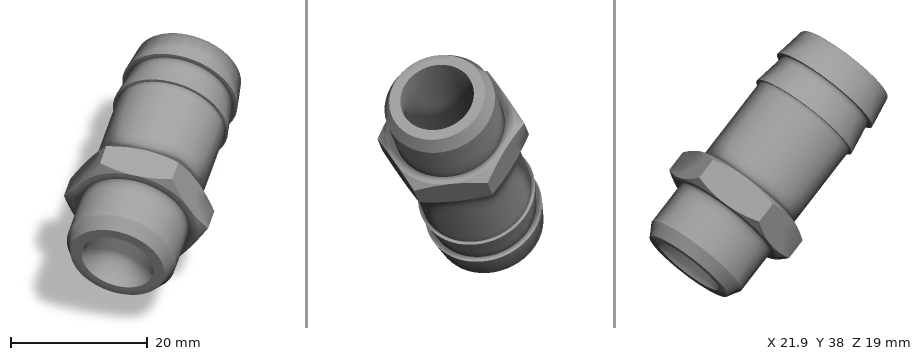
import cadquery as cq
import math

total_length = 38.0
thread_length = 9.0
hex_width = 5.0
barb_length = 5.0
barb_count = 2

bore_radius = 5.5
body_radius = 8.25
barb_crest_radius = 8.75
barb_root_radius = 7.92
across_flats = 19.0

lead_in_depth = 1.1
lead_in_angle = math.radians(30)
lead_in_length = lead_in_depth / math.tan(lead_in_angle)
hex_chamfer_angle = math.radians(30)
tip_fillet = 0.5

hex_half_angle = math.radians(30)
hex_corner_radius = across_flats / 2 / math.cos(hex_half_angle)


def revolve_about_y(profile):
    """Turn a closed (radius, length) outline about the Y axis."""
    points = [(length, radius) for radius, length in profile]
    return cq.Workplane("YZ").polyline(points).close().revolve(360, (0, 0, 0), (1, 0, 0))


def make_body():
    """Plain cylinder up to the barbs, with a conical lead-in at the threaded end."""
    barbs_start = total_length - barb_count * barb_length
    return revolve_about_y([
        (0, 0),
        (body_radius - lead_in_depth, 0),
        (body_radius, lead_in_length),
        (body_radius, barbs_start),
        (0, barbs_start),
    ])


def make_barb(index):
    """Cone that narrows toward the hose end; index 0 is the outermost barb."""
    tip = total_length - index * barb_length
    base = tip - barb_length
    return revolve_about_y([
        (0, base),
        (barb_crest_radius, base),
        (barb_root_radius, tip),
        (0, tip),
    ])


def make_hex():
    """Hexagon with corners on the X axis, both faces chamfered down to the flats."""
    hex_end = thread_length + hex_width
    chamfer_depth = hex_corner_radius - across_flats / 2
    chamfer_length = chamfer_depth * math.tan(hex_chamfer_angle)
    prism = (
        cq.Workplane("XZ", origin=(0, hex_end, 0))
        .polygon(6, 2 * hex_corner_radius)
        .extrude(hex_width)
    )
    envelope = revolve_about_y([
        (0, thread_length),
        (across_flats / 2, thread_length),
        (hex_corner_radius, thread_length + chamfer_length),
        (hex_corner_radius, hex_end - chamfer_length),
        (across_flats / 2, hex_end),
        (0, hex_end),
    ])
    return prism.intersect(envelope)


def make_bore():
    """Through bore along the whole part."""
    return cq.Workplane("XZ").circle(bore_radius).extrude(-total_length)


part = make_body().union(make_hex())
for barb_index in range(barb_count):
    barb = make_barb(barb_index)
    if barb_index == 0:
        barb = barb.faces(">Y").edges().fillet(tip_fillet)
    part = part.union(barb)

result = part.cut(make_bore())